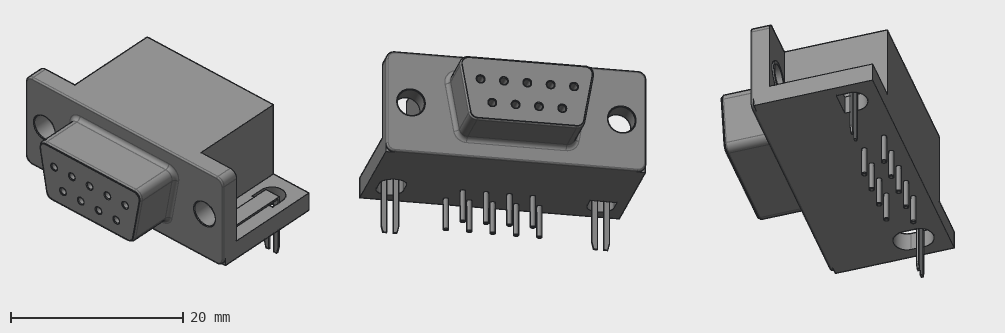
import cadquery as cq
import math


WIDTH = 30.8
HEIGHT = 12.5
DEPTH = 14.9
FLANGE_DEPTH = 2.35
LEDGE_HEIGHT = 2.5
CORE_WIDTH = 19.7
CORNER_RADIUS = 1.0

PLATE_THICKNESS = 0.4
PLATE_EDGE_RADIUS = 0.2

SHELL_LENGTH = 6.04
SHELL_HEIGHT = 7.85
SHELL_WIDTH = 16.25
SHELL_CENTER_Z = HEIGHT / 2
SHELL_SLOPE = math.radians(10)
SHELL_BASE_RADIUS = 0.55
SHELL_TIP_RADIUS = 0.2
INSERT_PROUD = 0.15

CONTACT_PITCH = 2.77
CONTACT_ROW_SPACING = 2.84
UPPER_ROW_COUNT = 5
LOWER_ROW_COUNT = 4
CONTACT_CENTER_DROP = 0.3
CONTACT_CENTER_Z = SHELL_CENTER_Z - CONTACT_CENTER_DROP
SOCKET_DIAMETER = 0.85
SOCKET_CHAMFER = 0.1
SOCKET_DEPTH = 5.0

PIN_DIAMETER = 0.64
PIN_LENGTH = 3.9
PIN_EMBED = 1.0
PIN_TIP_CHAMFER = 0.1
REAR_PIN_Y = DEPTH - 1.8

SCREW_SPACING = 25.0
SCREW_HOLE_DIAMETER = 3.2
SCREW_HOLE_CHAMFER = 0.1
COLLAR_DIAMETER = 4.0
COLLAR_HEIGHT = 0.2

BRACKET_WIDTH = 2.1
BRACKET_THICKNESS = 0.25
BRACKET_REAR_Y = DEPTH - 3.1
BRACKET_RISE = 2.1
TINE_DROP = 5.4
TINE_GAP = 0.76
TINE_TAPER_WIDTH = 0.22
TINE_TAPER_HEIGHT = 0.85
OPENING_WIDTH = 3.2
OPENING_ARC_Y = DEPTH - 3.2
OPENING_STRAIGHT = 1.65


def block(x_size, y_min, y_max, z_min, z_max, x_center=0.0):
    """Box centred on x_center and spanning the given Y and Z ranges."""
    box = cq.Workplane("XY").box(x_size, y_max - y_min, z_max - z_min, centered=(True, False, False))
    return box.translate((x_center, y_min, z_min))


def rod_along_y(x, z, diameter, y_start, y_end):
    """Cylinder parallel to Y from y_start to the larger y_end."""
    plane = cq.Workplane("XZ", origin=(x, y_start, z))
    return plane.circle(diameter / 2).extrude(y_start - y_end)


def contact_row(count):
    """X positions of one centred row of contacts."""
    return [(i - (count - 1) / 2) * CONTACT_PITCH for i in range(count)]


def make_housing():
    flange = block(WIDTH, PLATE_THICKNESS, FLANGE_DEPTH, 0, HEIGHT)
    flange = flange.edges("|Y and >Z").fillet(CORNER_RADIUS)
    ledge = block(WIDTH, PLATE_THICKNESS, DEPTH, 0, LEDGE_HEIGHT)
    core = block(CORE_WIDTH, PLATE_THICKNESS, DEPTH, 0, HEIGHT)
    return flange.union(ledge).union(core)


def make_shell():
    """D-shaped shell with a rounded tip; the insulator stands proud of its flat end."""
    half_height = SHELL_HEIGHT / 2
    half_top = SHELL_WIDTH / 2
    half_bottom = half_top - SHELL_HEIGHT * math.tan(SHELL_SLOPE)
    corners = [
        (-half_bottom, -half_height),
        (half_bottom, -half_height),
        (half_top, half_height),
        (-half_top, half_height),
    ]
    plane = cq.Workplane("XZ", origin=(0, PLATE_THICKNESS, SHELL_CENTER_Z))
    shell = plane.polyline(corners).close().extrude(PLATE_THICKNESS + SHELL_LENGTH - INSERT_PROUD)
    shell = shell.edges("|Y").fillet(CORNER_RADIUS)
    shell = shell.faces("<Y").edges().fillet(SHELL_TIP_RADIUS)
    return shell.faces("<Y").wires().toPending().workplane().extrude(INSERT_PROUD)


def make_front():
    """Metal plate with the D-shaped shell blended into it."""
    plate = block(WIDTH, 0, PLATE_THICKNESS, 0, HEIGHT)
    plate = plate.edges("|Y").fillet(CORNER_RADIUS)
    plate = plate.faces("<Y").edges().fillet(PLATE_EDGE_RADIUS)

    half_span = WIDTH / 2 - CORNER_RADIUS
    half_slab = PLATE_EDGE_RADIUS / 2
    low_corner = (-half_span, -half_slab, CORNER_RADIUS)
    high_corner = (half_span, half_slab, HEIGHT - CORNER_RADIUS)
    root_edges = cq.selectors.BoxSelector(low_corner, high_corner, boundingbox=True)
    return plate.union(make_shell()).edges(root_edges).fillet(SHELL_BASE_RADIUS)


def cut_sockets(body):
    """Blind contact sockets with countersunk mouths."""
    half_spacing = CONTACT_ROW_SPACING / 2
    rows = [(UPPER_ROW_COUNT, half_spacing), (LOWER_ROW_COUNT, -half_spacing)]
    for count, offset in rows:
        for x in contact_row(count):
            mouth = (x, -SHELL_LENGTH, CONTACT_CENTER_Z + offset)
            body = body.cut(rod_along_y(x, mouth[2], SOCKET_DIAMETER, mouth[1], mouth[1] + SOCKET_DEPTH))
            body = body.cut(countersink(mouth, SOCKET_DIAMETER, SOCKET_CHAMFER))
    return body


def countersink(mouth, diameter, chamfer):
    """45 degree cone opening toward -Y at a hole mouth."""
    wide = diameter / 2 + chamfer
    cone = cq.Solid.makeCone(wide, diameter / 2, chamfer, cq.Vector(*mouth), cq.Vector(0, 1, 0))
    return cq.Workplane(cone)


def make_pins():
    """Solder pins: the upper contact row drops at the rear, the lower row in front of it."""
    pins = cq.Workplane("XY")
    rows = [(UPPER_ROW_COUNT, REAR_PIN_Y), (LOWER_ROW_COUNT, REAR_PIN_Y - CONTACT_ROW_SPACING)]
    for count, y in rows:
        for x in contact_row(count):
            pin = cq.Workplane("XY", origin=(x, y, -PIN_LENGTH)).circle(PIN_DIAMETER / 2)
            pin = pin.extrude(PIN_LENGTH + PIN_EMBED).faces("<Z").chamfer(PIN_TIP_CHAMFER)
            pins = pins.add(pin)
    return pins.combine()


def cut_opening(body, x, front_is_round):
    """Slot through the ledge, round at the rear and round or square at the front."""
    front_y = OPENING_ARC_Y - OPENING_STRAIGHT
    slot = block(OPENING_WIDTH, front_y, OPENING_ARC_Y, 0, LEDGE_HEIGHT, x)
    round_ends = [OPENING_ARC_Y]
    if front_is_round:
        round_ends.append(front_y)
    for y in round_ends:
        end = cq.Workplane("XY", origin=(x, y, 0)).circle(OPENING_WIDTH / 2).extrude(LEDGE_HEIGHT)
        slot = slot.union(end)
    return body.cut(slot)


def make_bracket(x):
    """Bent strip: riser on the flange, strip along the ledge, and two tapered tines."""
    strip_top = LEDGE_HEIGHT + BRACKET_THICKNESS
    riser_top = LEDGE_HEIGHT + BRACKET_RISE
    riser = block(BRACKET_WIDTH, FLANGE_DEPTH, FLANGE_DEPTH + BRACKET_THICKNESS, LEDGE_HEIGHT, riser_top, x)
    strip = block(BRACKET_WIDTH, FLANGE_DEPTH, BRACKET_REAR_Y, LEDGE_HEIGHT, strip_top, x)
    bracket = riser.union(strip)

    half_width = BRACKET_WIDTH / 2
    half_gap = TINE_GAP / 2
    for side in (-1, 1):
        outline = [
            (side * half_gap, strip_top),
            (side * half_width, strip_top),
            (side * half_width, TINE_TAPER_HEIGHT - TINE_DROP),
            (side * (half_width - TINE_TAPER_WIDTH), -TINE_DROP),
            (side * half_gap, -TINE_DROP),
        ]
        tine = cq.Workplane("XZ", origin=(x, BRACKET_REAR_Y, 0)).polyline(outline).close()
        bracket = bracket.union(tine.extrude(BRACKET_THICKNESS))
    return bracket


def add_mounting(body, side):
    """Collar, screw hole, ledge opening and board lock at one end of the flange."""
    x = side * SCREW_SPACING / 2
    z = HEIGHT / 2
    collar_end = FLANGE_DEPTH + COLLAR_HEIGHT
    body = cut_opening(body, x, front_is_round=side < 0)
    body = body.union(rod_along_y(x, z, COLLAR_DIAMETER, FLANGE_DEPTH, collar_end))
    body = body.union(make_bracket(x))
    body = body.cut(rod_along_y(x, z, SCREW_HOLE_DIAMETER, 0, collar_end))
    return body.cut(countersink((x, 0, z), SCREW_HOLE_DIAMETER, SCREW_HOLE_CHAMFER))


body = make_housing().union(make_front())
body = cut_sockets(body)
body = body.union(make_pins())
for side in (-1, 1):
    body = add_mounting(body, side)
result = body